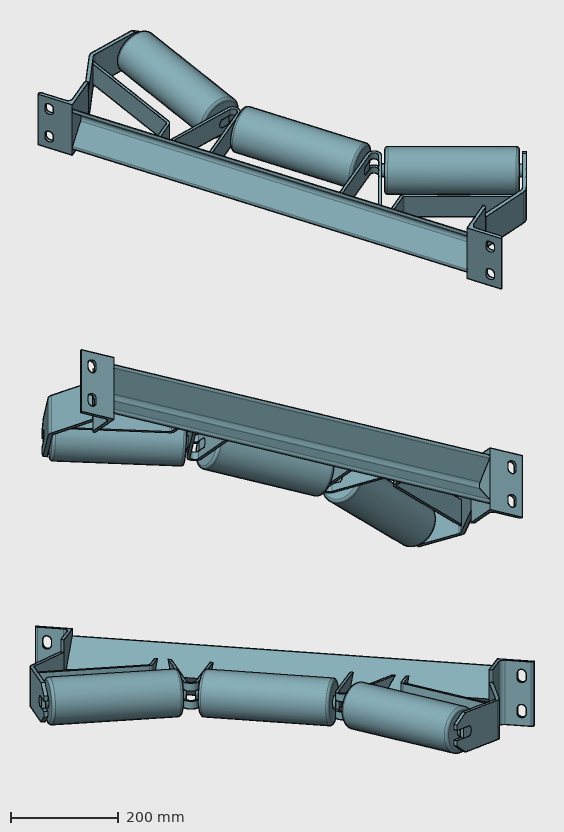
import cadquery as cq
import math

overall_length = 950.0
trough_angle = 25.0

angle_leg = 70.0
angle_thickness = 7.0
angle_root_radius = 9.5
angle_toe_radius = 5.0

foot_height = 125.0
foot_slot_length = 26.0
foot_slot_width = 17.0
foot_slot_inset = 23.0
foot_slot_pitch = 68.0

roller_diameter = 89.0
roller_length = 250.0
roller_edge_radius = 6.0
roller_gap = 6.0
centre_roller_y = 136.0
side_roller_x = 281.0
side_roller_y = 198.0
shaft_diameter = 25.0
shaft_flat_width = 20.0
shaft_end_top = 10.0
slot_clearance = 1.0

arm_thickness = 8.0
arm_width = 77.0
arm_lean = 20.0
arm_bend_radius = 13.0
arm_tip_above_axis = 30.0
arm_tip_chamfer_along = 26.0
arm_tip_chamfer_across = 18.0

bar_thickness = 6.0
bar_width = 50.0
brace_leg_x = 239.0
brace_corner_y = 69.0
brace_bend_radius = 6.0
bracket_bend_outer_radius = 14.0

half_length = overall_length / 2
beam_half_length = half_length - angle_leg
roller_half = roller_length / 2
plate_face = roller_half + roller_gap
shaft_radius = shaft_diameter / 2
tilt = math.radians(trough_angle)
lean = math.radians(arm_lean)
diagonal = math.sqrt(0.5)
beam_apex_y = (angle_leg + angle_thickness - 2 * angle_toe_radius) * diagonal + angle_toe_radius


def to_left_roller(x, y):
    """Turn a point of the left roller's own frame (x along its axis) into part coordinates."""
    return (
        -side_roller_x + x * math.cos(tilt) + y * math.sin(tilt),
        side_roller_y - x * math.sin(tilt) + y * math.cos(tilt),
    )


def place_left(body):
    """Move a body from the roller frame to the left roller's place."""
    return body.rotate((0, 0, 0), (0, 0, 1), -trough_angle).translate((-side_roller_x, side_roller_y, 0))


def place_centre(body):
    return body.translate((0, centre_roller_y, 0))


def mirrored(body):
    return body.mirror("YZ")


def meeting_point(point_a, direction_a, point_b, direction_b):
    """Point where two lines in the XY plane cross."""
    cross = direction_a[0] * direction_b[1] - direction_a[1] * direction_b[0]
    dx = point_b[0] - point_a[0]
    dy = point_b[1] - point_a[1]
    along = (dx * direction_b[1] - dy * direction_b[0]) / cross
    return (point_a[0] + along * direction_a[0], point_a[1] + along * direction_a[1])


def bent_strip(start, corner, end, bend_radius, thickness, width):
    """Flat bar with one bend; the points and the radius belong to its centre line."""
    first = cq.Vector(*start) - cq.Vector(*corner)
    second = cq.Vector(*end) - cq.Vector(*corner)
    to_start = first.normalized()
    to_end = second.normalized()
    half_angle = to_start.getAngle(to_end) / 2
    setback = bend_radius / math.tan(half_angle)
    bisector = (to_start + to_end).normalized()
    crown = cq.Vector(*corner) + bisector * (bend_radius / math.sin(half_angle) - bend_radius)
    bend_start = cq.Vector(*corner) + to_start * setback
    bend_end = cq.Vector(*corner) + to_end * setback
    path = (
        cq.Workplane("XY")
        .moveTo(*start)
        .lineTo(bend_start.x, bend_start.y)
        .threePointArc((crown.x, crown.y), (bend_end.x, bend_end.y))
        .lineTo(*end)
    )
    section = cq.Plane(origin=(start[0], start[1], 0), xDir=(0, 0, 1), normal=(-to_start).toTuple())
    return cq.Workplane(section).rect(width, thickness).sweep(path)


def angle_section(plane):
    """Closed outline of the rolled angle: heel at the origin, legs along the plane's two axes."""
    toe_start = angle_thickness - angle_toe_radius
    toe_end = angle_leg - angle_toe_radius
    root_end = angle_thickness + angle_root_radius
    return (
        cq.Workplane(plane)
        .lineTo(angle_leg, 0)
        .lineTo(angle_leg, toe_start)
        .radiusArc((toe_end, angle_thickness), -angle_toe_radius)
        .lineTo(root_end, angle_thickness)
        .radiusArc((angle_thickness, root_end), angle_root_radius)
        .lineTo(angle_thickness, toe_end)
        .radiusArc((toe_start, angle_leg), -angle_toe_radius)
        .lineTo(0, angle_leg)
        .close()
    )


def shaft_end_profile(top):
    """Section of a shaft end across its axis: flat sides, round bottom, square top."""
    half_flat = shaft_flat_width / 2
    bottom_corner = -math.sqrt(shaft_radius**2 - half_flat**2)
    return (
        cq.Workplane("YZ")
        .moveTo(top, -half_flat)
        .lineTo(bottom_corner, -half_flat)
        .threePointArc((-shaft_radius, 0), (bottom_corner, half_flat))
        .lineTo(top, half_flat)
        .close()
    )


def slot_cutter(side):
    """Open-topped slot past the plate face at one end (side -1 or +1), deeper than half a hairpin bend."""
    slot_top = 2 * arm_tip_above_axis
    cut_depth = bracket_bend_outer_radius + slot_clearance
    return shaft_end_profile(slot_top).extrude(side * cut_depth).translate((side * plate_face, 0, 0))


def make_beam():
    section_plane = cq.Plane(
        origin=(-beam_half_length, beam_apex_y, 0),
        xDir=(0, -diagonal, diagonal),
        normal=(1, 0, 0),
    )
    return angle_section(section_plane).extrude(2 * beam_half_length)


def beam_envelope():
    """Solid wedge below the beam's outer faces, for fitting bar ends to the beam."""
    return (
        cq.Workplane("YZ")
        .moveTo(beam_apex_y, 0)
        .lineTo(-beam_apex_y, 2 * beam_apex_y)
        .lineTo(-beam_apex_y, -2 * beam_apex_y)
        .close()
        .extrude(beam_half_length, both=True)
    )


def make_left_foot():
    section_plane = cq.Plane(
        origin=(-beam_half_length, 0, -foot_height / 2),
        xDir=(0, 1, 0),
        normal=(0, 0, 1),
    )
    foot = angle_section(section_plane).extrude(foot_height)
    slots = (
        cq.Workplane("XZ")
        .center(-half_length + foot_slot_inset, 0)
        .rarray(9.5, foot_slot_pitch, 1, 2)
        .slot2D(foot_slot_length, foot_slot_width, 90)
        .extrude(-2 * angle_thickness)
    )
    return foot.cut(slots)


arm_direction = (-math.sin(lean), math.cos(lean))
arm_foot_point = (
    -beam_half_length - arm_thickness / 2 * math.cos(lean),
    angle_leg - arm_thickness / 2 * math.sin(lean),
)


def make_left_arm():
    axial_place = -(plate_face + arm_thickness / 2)
    tip = to_left_roller(axial_place, arm_tip_above_axis)
    corner = meeting_point(arm_foot_point, arm_direction, tip, (math.sin(tilt), math.cos(tilt)))
    arm = bent_strip(arm_foot_point, corner, tip, arm_bend_radius, arm_thickness, arm_width)
    for side in (-1, 1):
        edge = side * arm_width / 2
        chamfer = (
            cq.Workplane("YZ")
            .moveTo(arm_tip_above_axis, edge)
            .lineTo(arm_tip_above_axis - arm_tip_chamfer_along, edge)
            .lineTo(arm_tip_above_axis, edge - side * arm_tip_chamfer_across)
            .close()
            .extrude(arm_thickness, both=True)
            .translate((axial_place, 0, 0))
        )
        arm = arm.cut(place_left(chamfer))
    return arm.cut(place_left(slot_cutter(-1)))


def make_left_brace():
    corner = (-brace_leg_x, brace_corner_y)
    top = meeting_point(corner, (-math.cos(tilt), math.sin(tilt)), arm_foot_point, arm_direction)
    brace = bent_strip((-brace_leg_x, 0), corner, top, brace_bend_radius, bar_thickness, bar_width)
    return brace.cut(beam_envelope())


def make_frame():
    frame = make_beam()
    for part in (make_left_foot(), make_left_arm(), make_left_brace()):
        frame = frame.union(part).union(mirrored(part))
    return frame


def make_left_inner_bracket():
    bar_centre = plate_face + bar_thickness / 2
    leg_point = to_left_roller(bar_centre, 0)
    leg_direction = (math.sin(tilt), math.cos(tilt))
    corner = meeting_point((-bar_centre, 0), (0, 1), leg_point, leg_direction)
    leg_foot = meeting_point((0, 0), (1, 0), leg_point, leg_direction)
    bend_radius = bracket_bend_outer_radius - bar_thickness / 2
    bracket = bent_strip((-bar_centre, 0), corner, leg_foot, bend_radius, bar_thickness, bar_width)
    bracket = bracket.cut(beam_envelope())
    return bracket.cut(place_left(slot_cutter(1))).cut(place_centre(slot_cutter(-1)))


def axial_cylinder(radius, half_length_along_axis):
    end_plane = cq.Workplane("YZ", origin=(-half_length_along_axis, 0, 0))
    return end_plane.circle(radius).extrude(2 * half_length_along_axis)


def make_roller():
    roller = axial_cylinder(roller_diameter / 2, roller_half).edges("%CIRCLE").fillet(roller_edge_radius)
    return roller.cut(axial_cylinder(shaft_radius, roller_half))


def make_shaft(left_plate, right_plate):
    """Round shaft with a flattened end as long as the plate that holds it on each side."""
    shaft = axial_cylinder(shaft_radius, plate_face)
    for side, plate in ((-1, left_plate), (1, right_plate)):
        shaft_end = shaft_end_profile(shaft_end_top).extrude(side * plate)
        shaft = shaft.union(shaft_end.translate((side * plate_face, 0, 0)), clean=False)
    return shaft


frame = make_frame()

left_inner_bracket = make_left_inner_bracket()
inner_brackets = [left_inner_bracket, mirrored(left_inner_bracket)]

left_roller = place_left(make_roller())
rollers = [left_roller, place_centre(make_roller()), mirrored(left_roller)]

left_shaft = place_left(make_shaft(arm_thickness, bar_thickness))
centre_shaft = place_centre(make_shaft(bar_thickness, bar_thickness))
shafts = [left_shaft, centre_shaft, mirrored(left_shaft)]

bodies = [frame, *inner_brackets, *rollers, *shafts]
result = cq.Compound.makeCompound([body.val() for body in bodies])